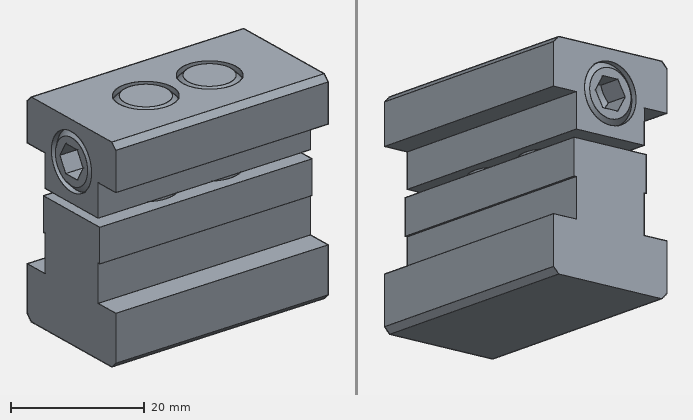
import cadquery as cq
import math

length = 40.0
flange_width = 22.0
height = 37.3
edge_chamfer = 1.0

lower_flange_top = 9.3
lip_bottom = 15.95
lower_bar_top = 22.05
upper_bar_bottom = 23.4
upper_flange_bottom = 29.3

stem_width = 13.2
lip_width = 14.0

screw_diameter = 10.0
screw_chamfer = 1.0
pin_spacing = 12.0
pin_embedding = 2.0
front_screw_height = 30.3

socket_across_flats = 5.0
socket_depth = 4.0
socket_cone_depth = 1.6


def extrude_profile(right_side):
    """Mirror a right-hand outline about the YZ plane and extrude it along Y."""
    left_side = [(-x, z) for x, z in reversed(right_side)]
    return (
        cq.Workplane("XZ")
        .polyline(right_side + left_side)
        .close()
        .extrude(length / 2, both=True)
    )


def make_lower_bar():
    flange = flange_width / 2
    stem = stem_width / 2
    lip = lip_width / 2
    return extrude_profile([
        (flange - edge_chamfer, 0),
        (flange, edge_chamfer),
        (flange, lower_flange_top),
        (stem, lower_flange_top),
        (stem, lip_bottom),
        (lip, lip_bottom),
        (lip, lower_bar_top),
    ])


def make_upper_bar():
    flange = flange_width / 2
    stem = stem_width / 2
    return extrude_profile([
        (stem, upper_bar_bottom),
        (stem, upper_flange_bottom),
        (flange, upper_flange_bottom),
        (flange, height - edge_chamfer),
        (flange - edge_chamfer, height),
    ])


def make_end_groove(face):
    """Ring left between a screw hole and the chamfered end of its screw."""
    radius = screw_diameter / 2
    hole = face.circle(radius).extrude(-screw_chamfer)
    screw_end = (
        face.circle(radius - screw_chamfer)
        .workplane(offset=-screw_chamfer)
        .circle(radius)
        .loft(ruled=True)
    )
    return hole.cut(screw_end)


def make_socket(face):
    across_corners = socket_across_flats / math.cos(math.pi / 6)
    total_depth = socket_depth + socket_cone_depth
    hexagon = face.polygon(6, across_corners).extrude(-total_depth)
    corner_radius = across_corners / 2
    drill = (
        cq.Workplane("XZ")
        .polyline([(0, 0), (corner_radius, 0), (corner_radius, -socket_depth), (0, -total_depth)])
        .close()
        .revolve()
        .rotate((0, 0, 0), (1, 0, 0), 90)
        .translate(face.plane.origin.toTuple())
    )
    return hexagon.intersect(drill)


result = make_lower_bar().union(make_upper_bar())

for pin_y in (-pin_spacing / 2, pin_spacing / 2):
    pin = (
        cq.Workplane("XY", origin=(0, pin_y, lower_bar_top - pin_embedding))
        .circle(screw_diameter / 2)
        .extrude(upper_bar_bottom - lower_bar_top + 2 * pin_embedding)
    )
    top_face = cq.Workplane("XY", origin=(0, pin_y, height))
    result = result.union(pin).cut(make_end_groove(top_face))

front_face = cq.Workplane("XZ", origin=(0, -length / 2, front_screw_height))
result = result.cut(make_end_groove(front_face)).cut(make_socket(front_face))